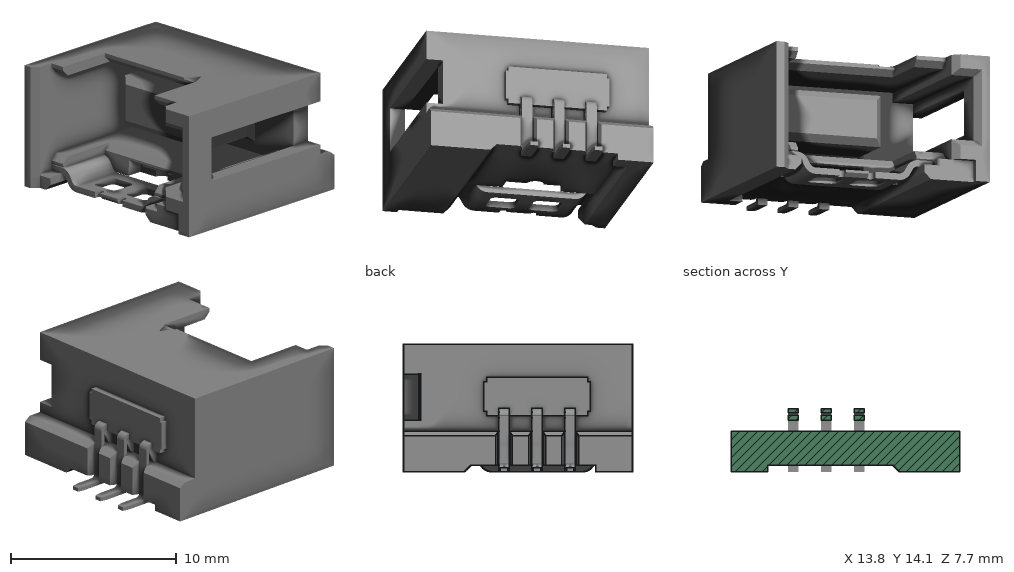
import cadquery as cq
import math


width = 13.8
height = 7.7
housing_depth = 11.38
overall_depth = 14.05
base_depth = 12.6
base_height = 2.46
base_bevel_y = 0.38
base_bevel_z = 0.28
contact_x = 5.75
past = 0.7

cavity_left = 0.91
cavity_right = 11.44
cavity_bottom = 1.92
cavity_top = 7.07
back_wall_front = 10.12
lead_in = 0.4
lead_in_right = 0.44
plate_front = 1.38
notch_width = 7.66
notch_end = 5.0
notch_left = contact_x - notch_width / 2
notch_right = contact_x + notch_width / 2
floor_edge = cavity_bottom - lead_in

key_bottom = 2.53
key_top = 6.46
key_right_front = 12.88
key_right_back = 12.76
window_bottom = 3.12
window_top = 5.89
window_front = 1.95

foot_front = 0.42
foot_left_end = 1.77
foot_right_start = 9.72
foot_bevel = 0.41
rear_channel_left = 2.22
channel_height = 0.4

strap_thickness = 0.4
strap_rise = 0.9
strap_top = strap_rise + strap_thickness
strap_front = 1.35
strap_back = 4.89
strap_toe_gap = 0.03
strap_bend_angle = 60.0
strap_low_half = 2.94
strap_outer_radius = 0.8
strap_inner_radius = strap_outer_radius - strap_thickness
strap_hole_width = 1.81
strap_hole_front = 2.28
strap_hole_back = 4.03
strap_hole_radius = 0.34
strap_hole_offset = 1.33
strap_notch_width = 0.42
strap_notch_depth = 0.48
strap_notch_offset = 0.94
strap_tip_face = 0.15

pocket_right = 10.6
pocket_entry = 0.1
pocket_roof = strap_top + pocket_entry
strap_left = cavity_left + pocket_entry
strap_right = pocket_right

seat_width = 3.6
seat_depth = 0.95
tab_width = 3.05
groove_diameter = 1.0

tongue_z = 4.5
tongue_size = (6.85, 3.15)
tongue_root_size = (7.57, 3.71)
tongue_root_bevel = 0.31
tongue_front = 5.95
tongue_front_size = (6.07, 2.3)
tongue_front_z = 4.52

contact_pitch = 2.0
contact_count = 3
contact_width = 0.63
contact_thickness = 0.24
contact_tip_width = 0.45
contact_tip_length = 0.42
contact_outer_y = 12.21
contact_top = 3.82
contact_outer_radius = 0.42
contact_inner_radius = contact_outer_radius - contact_thickness
contact_foot_radius = 0.25
contact_inner_y = contact_outer_y - contact_thickness
relief_width = 0.75
relief_mouth_width = 1.01
relief_mouth_depth = 0.25
boss_depth = 0.4
boss_width = 6.42
boss_bottom = 3.37
boss_top = 5.69
boss_step_x = 0.17
boss_step_z = 0.27
gusset_root_y = 11.56
gusset_tip_z = 3.27

mark_depth = 0.1
mark_width = 1.04
mark_length = 0.98


def block(x0, x1, y0, y1, z0, z1):
    """Box between two opposite corners."""
    return cq.Workplane("XY").box(x1 - x0, y1 - y0, z1 - z0, centered=False).translate((x0, y0, z0))


def side_prism(points, x0, x1):
    """Prism along X from (y, z) points."""
    return cq.Workplane("YZ", origin=(x0, 0, 0)).polyline(points).close().extrude(x1 - x0)


def front_prism(points, y0, y1):
    """Prism along Y from (x, z) points."""
    return cq.Workplane("XZ", origin=(0, y0, 0)).polyline(points).close().extrude(y0 - y1)


def plan_prism(points, z0, z1):
    """Prism along Z from (x, y) points."""
    return cq.Workplane("XY", origin=(0, 0, z0)).polyline(points).close().extrude(z1 - z0)


def housing_blank():
    profile = [
        (0, 0),
        (base_depth, 0),
        (base_depth, base_height - base_bevel_z),
        (base_depth - base_bevel_y, base_height),
        (housing_depth, base_height),
        (housing_depth, height),
        (0, height),
    ]
    return side_prism(profile, 0, width)


def cavity():
    """Main cavity and the keying slot, whose right side narrows towards the back."""
    main = block(cavity_left, cavity_right, -past, back_wall_front, cavity_bottom, cavity_top)
    key_plan = [
        (cavity_left, 0),
        (key_right_front, 0),
        (key_right_back, back_wall_front),
        (cavity_left, back_wall_front),
    ]
    key = plan_prism(key_plan, key_bottom, key_top)
    window = block(key_right_back, width + past, window_front, base_depth, window_bottom, window_top)
    return main.union(key).union(window)


def loft_along_y(outline_a, y_a, outline_b, y_b):
    """Ruled solid between two (x, z) outlines at different Y."""
    loft = cq.Workplane("XZ", origin=(0, y_a, 0)).polyline(outline_a).close()
    return loft.workplane(offset=y_a - y_b).polyline(outline_b).close().loft(ruled=True)


def rectangle(x0, x1, z0, z1):
    return [(x0, z0), (x1, z0), (x1, z1), (x0, z1)]


def mouth_outline(side_step, key_step):
    """Mouth of the cavity and keying slot, widened by the given steps."""
    right = cavity_right + side_step
    key_right = key_right_front + key_step
    return [
        (cavity_left, strap_top),
        (right, strap_top),
        (right, key_bottom - key_step),
        (key_right, key_bottom - key_step),
        (key_right, key_top + key_step),
        (right, key_top + key_step),
        (right, height),
        (cavity_left, height),
    ]


def mouth_bevel():
    """Lead-in flaring out to the mating face on the side walls and the keying slot."""
    right = loft_along_y(mouth_outline(0, 0), lead_in, mouth_outline(lead_in_right, lead_in), 0)
    left = plan_prism(
        [(cavity_left, 0), (cavity_left, lead_in), (cavity_left - lead_in, 0)], 0, height
    )
    return right.union(left)


def plate_edge_cut(x0, x1, edge_y):
    """Trim both plates back to edge_y with bevels leading into the cavity."""
    profile = [
        (-past, height + past),
        (edge_y, height + past),
        (edge_y, cavity_top + lead_in),
        (edge_y + lead_in, cavity_top),
        (edge_y + lead_in, cavity_bottom),
        (edge_y, floor_edge),
        (-past, floor_edge),
    ]
    return side_prism(profile, x0, x1)


def strap_pocket():
    """Slot for the strap ends, with entry bevels on the feet and under the floor plates."""
    pocket = block(cavity_left, pocket_right, 0, strap_back, strap_rise, strap_top)
    foot_entry = loft_along_y(
        rectangle(cavity_left, pocket_right + pocket_entry, strap_rise - pocket_entry, strap_top),
        foot_front,
        rectangle(cavity_left, pocket_right, strap_rise, strap_top),
        foot_front + pocket_entry,
    )
    roof_entry = side_prism(
        [
            (plate_front, strap_top),
            (plate_front + pocket_entry, strap_top),
            (plate_front, pocket_roof),
        ],
        cavity_left, pocket_right,
    )
    return pocket.union(foot_entry).union(roof_entry)


def foot_cuts():
    """Clear the space around the feet and under the housing, up to a drafted wall behind the strap."""
    wall_toe = strap_back + strap_toe_gap
    under_notch = side_prism(
        [
            (-past, -past),
            (wall_toe, -past),
            (wall_toe, channel_height),
            (notch_end, floor_edge),
            (-past, floor_edge),
        ],
        notch_left, notch_right,
    )
    between_feet = block(foot_left_end, foot_right_start, -past, strap_back, -past, strap_top)
    above_feet = block(cavity_left, cavity_right, -past, plate_front, strap_top, floor_edge)
    set_back = block(cavity_left, key_right_front, -past, foot_front, -past, strap_top)
    right_bevel_end = foot_right_start + foot_bevel
    front_channel = front_prism(
        [
            (foot_left_end - foot_bevel, 0),
            (foot_left_end, channel_height),
            (foot_right_start, channel_height),
            (right_bevel_end, 0),
        ],
        0, housing_depth,
    )
    rear_channel = front_prism(
        [
            (rear_channel_left, 0),
            (rear_channel_left, channel_height),
            (foot_right_start, channel_height),
            (right_bevel_end, 0),
        ],
        housing_depth, base_depth,
    )
    open_space = under_notch.union(between_feet).union(above_feet).union(set_back)
    return open_space.union(front_channel).union(rear_channel)


def tab_seat():
    """Recess under the floor around the flush strap tab, with a half-round groove below the tab."""
    seat_end = notch_end + seat_depth
    seat_left = contact_x - seat_width / 2
    seat_right = contact_x + seat_width / 2
    seat = side_prism(
        [
            (0, -past),
            (seat_end, -past),
            (seat_end, strap_top),
            (notch_end + pocket_entry, strap_top),
            (notch_end, pocket_roof),
            (0, pocket_roof),
        ],
        seat_left, seat_right,
    )
    half = tab_width / 2
    tab_entry = loft_along_y(
        rectangle(
            contact_x - half - pocket_entry, contact_x + half + pocket_entry,
            strap_rise - pocket_entry, strap_top,
        ),
        seat_end,
        rectangle(contact_x - half, contact_x + half, strap_rise, strap_top),
        seat_end + pocket_entry,
    )
    groove = cq.Workplane("XY").center(contact_x, seat_end).circle(groove_diameter / 2).extrude(strap_rise)
    return seat.union(tab_entry).union(groove)


def pin_mark():
    base_y = notch_end
    points = [
        (notch_right - mark_width, base_y),
        (notch_right, base_y),
        (notch_right - mark_width / 2, base_y + mark_length),
    ]
    return plan_prism(points, height - mark_depth, height)


def tongue():
    """Straight tongue on the back wall, bevelled at its root and around its front end."""
    shaft_start = back_wall_front - tongue_root_bevel
    shaft_end = tongue_front + lead_in

    def section(size, z):
        half_width = size[0] / 2
        half_height = size[1] / 2
        return rectangle(contact_x - half_width, contact_x + half_width, z - half_height, z + half_height)

    body = section(tongue_size, tongue_z)
    root = loft_along_y(section(tongue_root_size, tongue_z), back_wall_front, body, shaft_start)
    shaft = front_prism(body, shaft_end, back_wall_front)
    tip = loft_along_y(body, shaft_end, section(tongue_front_size, tongue_front_z), tongue_front)
    return shaft.union(root).union(tip)


def strap_strip():
    """Joggled strip, low in the middle and raised at both ends."""
    slope = math.radians(strap_bend_angle)
    run = strap_rise / math.tan(slope)
    shift = strap_thickness * math.tan(slope / 2)
    bends = [
        (strap_low_half, strap_thickness, strap_inner_radius),
        (strap_low_half + run, strap_top, strap_outer_radius),
        (strap_low_half + run + shift, strap_rise, strap_inner_radius),
        (strap_low_half + shift, 0, strap_outer_radius),
    ]
    corners = [(x, z) for x, z, _ in bends]
    right_end = [(strap_right, strap_top), (strap_right, strap_rise)]
    left_end = [(strap_left, strap_rise), (strap_left, strap_top)]
    right = [(contact_x + x, z) for x, z in corners]
    left = [(contact_x - x, z) for x, z in reversed(corners)]
    outline = right[:2] + right_end + right[2:] + left[:2] + left_end + left[2:]
    strip = front_prism(outline, strap_front, strap_back)
    middle_y = (strap_front + strap_back) / 2
    for x, z, radius in bends:
        for side in (-1, 1):
            corner = (contact_x + side * x, middle_y, z)
            strip = strip.edges(cq.selectors.NearestToPointSelector(corner)).fillet(radius)
    return strip


def solder_strap():
    strap = strap_strip()
    for side in (-1, 1):
        hole_x = contact_x + side * strap_hole_offset
        hole = block(
            hole_x - strap_hole_width / 2, hole_x + strap_hole_width / 2,
            strap_hole_front, strap_hole_back, 0, strap_thickness,
        )
        strap = strap.cut(hole.edges("|Z").fillet(strap_hole_radius))
        notch = (
            cq.Workplane("XY")
            .center(contact_x + side * strap_notch_offset, strap_front)
            .slot2D(2 * strap_notch_depth, strap_notch_width, 90)
            .extrude(strap_thickness)
        )
        strap = strap.cut(notch)
    bevel = strap_thickness - strap_tip_face
    tip_bevel = side_prism(
        [(strap_front, 0), (strap_front + bevel, 0), (strap_front, bevel)],
        contact_x - strap_notch_offset, contact_x + strap_notch_offset,
    )
    return strap.cut(tip_bevel)


def contact_relief(x):
    """Slot in the rear base around one contact, flared at its rear end."""
    half = relief_width / 2
    mouth = relief_mouth_width / 2
    points = [
        (x - half, contact_inner_y),
        (x + half, contact_inner_y),
        (x + half, base_depth - relief_mouth_depth),
        (x + mouth, base_depth),
        (x - mouth, base_depth),
        (x - half, base_depth - relief_mouth_depth),
    ]
    return plan_prism(points, 0, base_height)


def contact(x):
    """Contact leaving the rear boss, bending down and then back along the board."""
    x0 = x - contact_width / 2
    mid = math.sqrt(0.5)
    foot_radius = contact_foot_radius
    outer = contact_outer_radius
    inner = contact_inner_radius
    outer_y = contact_outer_y - outer
    inner_z = contact_top - outer
    foot_y = contact_outer_y + foot_radius
    foot_z = contact_thickness + foot_radius
    strip = (
        cq.Workplane("YZ", origin=(x0, 0, 0))
        .moveTo(housing_depth, contact_top)
        .lineTo(outer_y, contact_top)
        .threePointArc((outer_y + outer * mid, inner_z + outer * mid), (contact_outer_y, inner_z))
        .lineTo(contact_outer_y, foot_z)
        .threePointArc(
            (foot_y - foot_radius * mid, foot_z - foot_radius * mid), (foot_y, contact_thickness)
        )
        .lineTo(overall_depth, contact_thickness)
        .lineTo(overall_depth, 0)
        .lineTo(contact_inner_y, 0)
        .lineTo(contact_inner_y, inner_z)
        .threePointArc(
            (outer_y + inner * mid, inner_z + inner * mid), (outer_y, contact_top - contact_thickness)
        )
        .lineTo(housing_depth, contact_top - contact_thickness)
        .close()
        .extrude(contact_width)
    )
    half = contact_width / 2
    half_tip = contact_tip_width / 2
    for side in (-1, 1):
        trim = plan_prism(
            [
                (x + side * half, overall_depth - contact_tip_length),
                (x + side * half, overall_depth),
                (x + side * half_tip, overall_depth),
            ],
            0, contact_thickness,
        )
        strip = strip.cut(trim)
    gusset = side_prism(
        [
            (housing_depth, base_height),
            (gusset_root_y, base_height),
            (contact_inner_y, gusset_tip_z),
            (outer_y, contact_top - contact_thickness),
            (housing_depth, contact_top - contact_thickness),
        ],
        x0, x0 + contact_width,
    )
    return strip.union(gusset)


def rear_boss():
    """Shallow plate with stepped corners on the rear of the shroud."""
    half = boss_width / 2
    rear = housing_depth + boss_depth
    wide = block(
        contact_x - half, contact_x + half, housing_depth, rear,
        boss_bottom + boss_step_z, boss_top - boss_step_z,
    )
    tall = block(
        contact_x - half + boss_step_x, contact_x + half - boss_step_x, housing_depth, rear,
        boss_bottom, boss_top,
    )
    return wide.union(tall)


contact_positions = [
    contact_x + (i - (contact_count - 1) / 2) * contact_pitch for i in range(contact_count)
]

result = housing_blank().cut(cavity()).cut(mouth_bevel())
for left, right, edge_y in (
    (cavity_left, notch_left, plate_front),
    (notch_left, notch_right, notch_end),
    (notch_right, cavity_right, plate_front),
):
    result = result.cut(plate_edge_cut(left, right, edge_y))
result = result.cut(strap_pocket()).cut(foot_cuts()).cut(tab_seat()).cut(pin_mark())
result = result.union(tongue()).union(solder_strap()).union(rear_boss())
for position in contact_positions:
    result = result.cut(contact_relief(position)).union(contact(position))